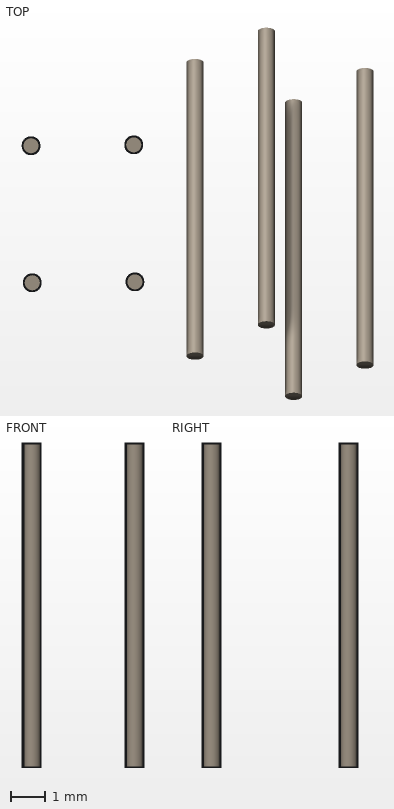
import cadquery as cq

pin_length = 9.46
pin_diameter = 0.5
spacing_x = 3.0
spacing_y = 4.0
pattern_turn = 0.5


def make_pin(x, y):
    """One plain cylindrical pin with its foot at Z = 0, turned with the pattern about Z."""
    pin = cq.Workplane("XY").center(x, y).circle(pin_diameter / 2).extrude(pin_length)
    return pin.rotate((0, 0, 0), (0, 0, 1), pattern_turn)


pins = []
for x in (-spacing_x / 2, spacing_x / 2):
    for y in (-spacing_y / 2, spacing_y / 2):
        pins.append(make_pin(x, y))

result = cq.Compound.makeCompound([pin.val() for pin in pins])